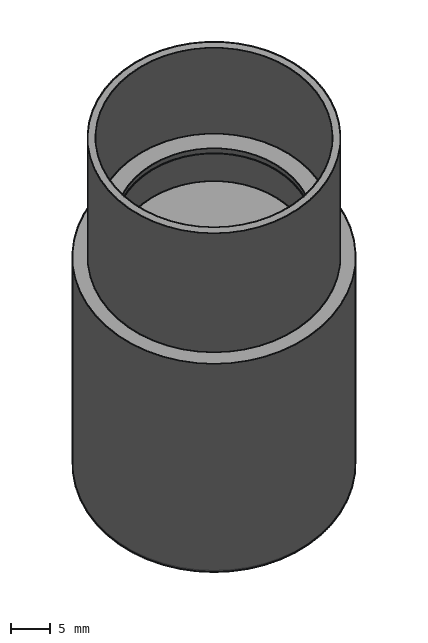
import cadquery as cq

TOTAL_HEIGHT = 63.5
BODY_DIAMETER = 35.56
BODY_HEIGHT = 40.64
BOTTOM_FILLET = 1.0

NECK_DIAMETER = 31.75
NECK_WALL = 1.0
NECK_BORE_DEPTH = 16.5

LIP_DIAMETER = 24.9
LIP_THICKNESS = 1.0
RECESS_DIAMETER = 25.0

NECK_BORE_DIAMETER = NECK_DIAMETER - 2 * NECK_WALL
LEDGE_Z = TOTAL_HEIGHT - NECK_BORE_DEPTH
LIP_BOTTOM_Z = LEDGE_Z - LIP_THICKNESS
RECESS_FLOOR_Z = BODY_HEIGHT


def cylinder(diameter, bottom_z, top_z):
    """Solid cylinder about the Z axis between two heights."""
    return cq.Workplane("XY").workplane(offset=bottom_z).circle(diameter / 2).extrude(top_z - bottom_z)


def outer_shape():
    """Body with a rounded bottom edge, carrying the narrower neck."""
    body = cylinder(BODY_DIAMETER, 0, BODY_HEIGHT).faces("<Z").edges().fillet(BOTTOM_FILLET)
    neck = cylinder(NECK_DIAMETER, BODY_HEIGHT, TOTAL_HEIGHT)
    return body.union(neck)


def inner_cavity():
    """Blind cavity: neck bore, opening through the thin lip, slightly wider recess below it."""
    neck_bore = cylinder(NECK_BORE_DIAMETER, LEDGE_Z, TOTAL_HEIGHT)
    lip_opening = cylinder(LIP_DIAMETER, LIP_BOTTOM_Z, LEDGE_Z)
    recess = cylinder(RECESS_DIAMETER, RECESS_FLOOR_Z, LIP_BOTTOM_Z)
    return neck_bore.union(lip_opening).union(recess)


result = outer_shape().cut(inner_cavity())